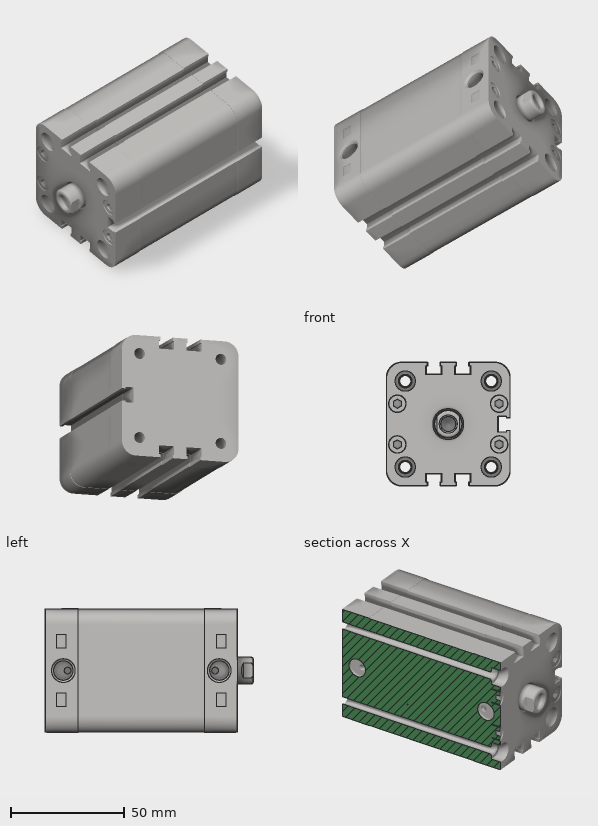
import cadquery as cq
import math


body_length = 85.0
cap_length = 14.5
cap_width = 54.8
tube_width = 54.5
cap_corner_radius = 6.5
tube_corner_radius = 6.9
tube_length = body_length - 2 * cap_length

groove_offset = 6.4
groove_step = 25.7
cap_groove_floor = 21.85
tube_groove_floor = 22.1
cap_groove_mouth = 5.9
cap_groove_width = 7.1
tube_groove_mouth = 5.3
tube_groove_width = 6.6
side_groove_mouth = 5.55
side_groove_width = 6.9
groove_entry_length = 5.6

rod_diameter = 12.0
rod_protrusion = 7.0
rod_tip_radius = 1.2
rod_flat_width = 10.0
rod_flat_length = 4.3
rod_thread_diameter = 8.0
rod_drill_diameter = 6.65
rod_drill_depth = 12.0
drill_tip_angle = 118.0
rod_clearance_diameter = 12.5
rod_clearance_depth = 3.0
rod_clearance_mouth = 13.7

mount_spacing = 38.0
mount_drill_diameter = 4.92
mount_thread_diameter = 6.0
mount_counterbore_diameter = 9.0
mount_counterbore_depth = 5.0

screw_spacing_x = 45.0
screw_spacing_z = 18.0
screw_pocket_diameter = 7.7
screw_pocket_depth = 5.0
screw_head_diameter = 7.5
screw_head_recess = 0.4
screw_socket_flats = 3.5
screw_socket_depth = 2.0

port_from_end = 8.0
port_diameter = 8.57
port_mouth_diameter = 10.6
port_depth = 8.0
port_passage_diameter = 3.0
port_passage_shift = 1.9
port_passage_depth = 4.0

label_from_end = 7.2
label_length = 4.2
label_height = 6.0
label_offset = 12.9
label_depth = 0.2

AXIS = cq.Vector(0, 1, 0)


def plane_along_y(y):
    """Sketch plane at position y, parallel to XZ, extruding toward +Y."""
    return cq.Workplane(cq.Plane((0, y, 0), (-1, 0, 0), (0, 1, 0)))


def cylinder_y(diameter, y_start, length, x=0.0, z=0.0):
    return cq.Workplane(cq.Solid.makeCylinder(diameter / 2, length, cq.Vector(x, y_start, z), AXIS))


def cone_y(start_diameter, end_diameter, y_start, length, x=0.0, z=0.0):
    cone = cq.Solid.makeCone(start_diameter / 2, end_diameter / 2, length, cq.Vector(x, y_start, z), AXIS)
    return cq.Workplane(cone)


def chamfer_depth(large_diameter, small_diameter):
    """Axial length of a 45 degree chamfer between two diameters."""
    return (large_diameter - small_diameter) / 2


def rounded_square(width, radius):
    return cq.Sketch().rect(width, width).vertices().fillet(radius)


def make_cap():
    """Drafted front cap, growing from the tube size at its end face to the full cap width."""
    outer_section = rounded_square(tube_width, cap_corner_radius)
    inner_section = rounded_square(cap_width, tube_corner_radius)
    inner_section = inner_section.moved(cq.Location(cq.Vector(0, 0, cap_length)))
    return plane_along_y(0).placeSketch(outer_section, inner_section).loft(ruled=True)


def make_body():
    front_cap = make_cap()
    rear_cap = front_cap.mirror("XZ").translate((0, body_length, 0))
    tube = plane_along_y(cap_length).rect(tube_width, tube_width).extrude(tube_length)
    tube = tube.edges("|Y").fillet(tube_corner_radius)
    return tube.union(front_cap).union(rear_cap)


def groove_cutter(mouth, width, floor, y_start, length, offset=0.0):
    """T-groove opening toward +Z."""
    stem_height = cap_width - floor
    stem = cq.Workplane().box(mouth, length, stem_height, centered=(True, False, False))
    head = cq.Workplane().box(width, length, groove_step - floor, centered=(True, False, False))
    return stem.union(head).translate((offset, y_start, floor))


def cut_grooves(body):
    entry_end = cap_length + groove_entry_length
    rear_cap_start = body_length - cap_length
    for turn in (0, 180):
        for offset in (-groove_offset, groove_offset):
            tube_part = groove_cutter(
                tube_groove_mouth, tube_groove_width, tube_groove_floor,
                entry_end, rear_cap_start - entry_end, offset)
            front_part = groove_cutter(
                cap_groove_mouth, cap_groove_width, cap_groove_floor, 0, entry_end, offset)
            rear_part = groove_cutter(
                cap_groove_mouth, cap_groove_width, cap_groove_floor, rear_cap_start, cap_length, offset)
            for cutter in (front_part, tube_part, rear_part):
                body = body.cut(cutter.rotate((0, 0, 0), (0, 1, 0), turn))

    side_sections = (
        (cap_groove_floor, 0, cap_length),
        (tube_groove_floor, cap_length, tube_length),
        (cap_groove_floor, rear_cap_start, cap_length),
    )
    for floor, y_start, length in side_sections:
        cutter = groove_cutter(side_groove_mouth, side_groove_width, floor, y_start, length)
        body = body.cut(cutter.rotate((0, 0, 0), (0, 1, 0), 90))
    return body


def cut_mounting_holes(body):
    chamfer = chamfer_depth(mount_thread_diameter, mount_drill_diameter)
    half = mount_spacing / 2
    for x in (-half, half):
        for z in (-half, half):
            body = body.cut(cylinder_y(mount_drill_diameter, 0, body_length, x, z))
            body = body.cut(cylinder_y(mount_counterbore_diameter, 0, mount_counterbore_depth, x, z))
            body = body.cut(cone_y(
                mount_thread_diameter, mount_drill_diameter, mount_counterbore_depth, chamfer, x, z))
    return body


def add_cap_screws(body):
    """Hexagon socket screw heads sunk in the front cap."""
    head_height = screw_pocket_depth - screw_head_recess
    socket_corners = screw_socket_flats / math.cos(math.pi / 6)
    socket = plane_along_y(screw_head_recess).polygon(6, socket_corners).extrude(screw_socket_depth)
    socket = socket.rotate((0, 0, 0), (0, 1, 0), 30)
    for x in (-screw_spacing_x / 2, screw_spacing_x / 2):
        for z in (-screw_spacing_z / 2, screw_spacing_z / 2):
            head = cylinder_y(screw_head_diameter, screw_head_recess, head_height, x, z)
            body = body.cut(cylinder_y(screw_pocket_diameter, 0, screw_pocket_depth, x, z))
            body = body.union(head.cut(socket.translate((x, 0, z))))
    return body


def make_rod():
    """Rod end with two wrench flats, rounded tip and a threaded centre hole."""
    rod = cylinder_y(rod_diameter, -rod_protrusion, rod_protrusion + rod_clearance_depth)
    rod = rod.faces("<Y").edges().fillet(rod_tip_radius)

    half_flat = rod_flat_width / 2
    flat_end = rod_flat_length - rod_protrusion
    flat_cutter = (
        cq.Workplane("XY")
        .moveTo(half_flat, -rod_protrusion)
        .lineTo(half_flat, flat_end)
        .lineTo(half_flat + rod_diameter, flat_end + rod_diameter)
        .lineTo(half_flat + rod_diameter, -rod_protrusion)
        .close()
        .extrude(rod_diameter, both=True)
    )
    return rod.cut(flat_cutter).cut(flat_cutter.mirror("YZ"))


def add_rod(body):
    clearance_chamfer = chamfer_depth(rod_clearance_mouth, rod_clearance_diameter)
    body = body.cut(cylinder_y(rod_clearance_diameter, 0, rod_clearance_depth))
    body = body.cut(cone_y(rod_clearance_mouth, rod_clearance_diameter, 0, clearance_chamfer))
    body = body.union(make_rod())

    tip = -rod_protrusion
    thread_chamfer = chamfer_depth(rod_thread_diameter, rod_drill_diameter)
    drill_point = rod_drill_diameter / 2 / math.tan(math.radians(drill_tip_angle / 2))
    body = body.cut(cylinder_y(rod_drill_diameter, tip, rod_drill_depth))
    body = body.cut(cone_y(rod_drill_diameter, 0, tip + rod_drill_depth, drill_point))
    return body.cut(cone_y(rod_thread_diameter, rod_drill_diameter, tip, thread_chamfer))


def cut_air_port(body, y, passage_y):
    """Chamfered blind port with a small passage in its floor."""
    inward = cq.Vector(1, 0, 0)
    face_x = -cap_width / 2
    floor_x = face_x + port_depth
    chamfer = chamfer_depth(port_mouth_diameter, port_diameter)
    face_centre = cq.Vector(face_x, y, 0)
    passage_centre = cq.Vector(floor_x, passage_y, 0)
    bore = cq.Solid.makeCylinder(port_diameter / 2, port_depth, face_centre, inward)
    mouth = cq.Solid.makeCone(port_mouth_diameter / 2, port_diameter / 2, chamfer, face_centre, inward)
    passage = cq.Solid.makeCylinder(port_passage_diameter / 2, port_passage_depth, passage_centre, inward)
    for cutter in (bore, mouth, passage):
        body = body.cut(cq.Workplane(cutter))
    return body


def cut_labels(body, y):
    """Shallow rectangular recesses above and below an air port."""
    mid_cap_width = (cap_width + tube_width) / 2
    recess_thickness = (cap_width - mid_cap_width) / 2 + label_depth
    recess = cq.Workplane().box(
        recess_thickness, label_length, label_height, centered=(False, True, True))
    for z in (-label_offset, label_offset):
        body = body.cut(recess.translate((-cap_width / 2, y, z)))
    return body


body = make_body()
body = cut_grooves(body)
body = cut_mounting_holes(body)
body = add_cap_screws(body)
body = add_rod(body)
body = cut_air_port(body, port_from_end, port_from_end + port_passage_shift)
rear_port_y = body_length - port_from_end
body = cut_air_port(body, rear_port_y, rear_port_y - port_passage_shift)
body = cut_labels(body, label_from_end)
body = cut_labels(body, body_length - label_from_end)

result = body